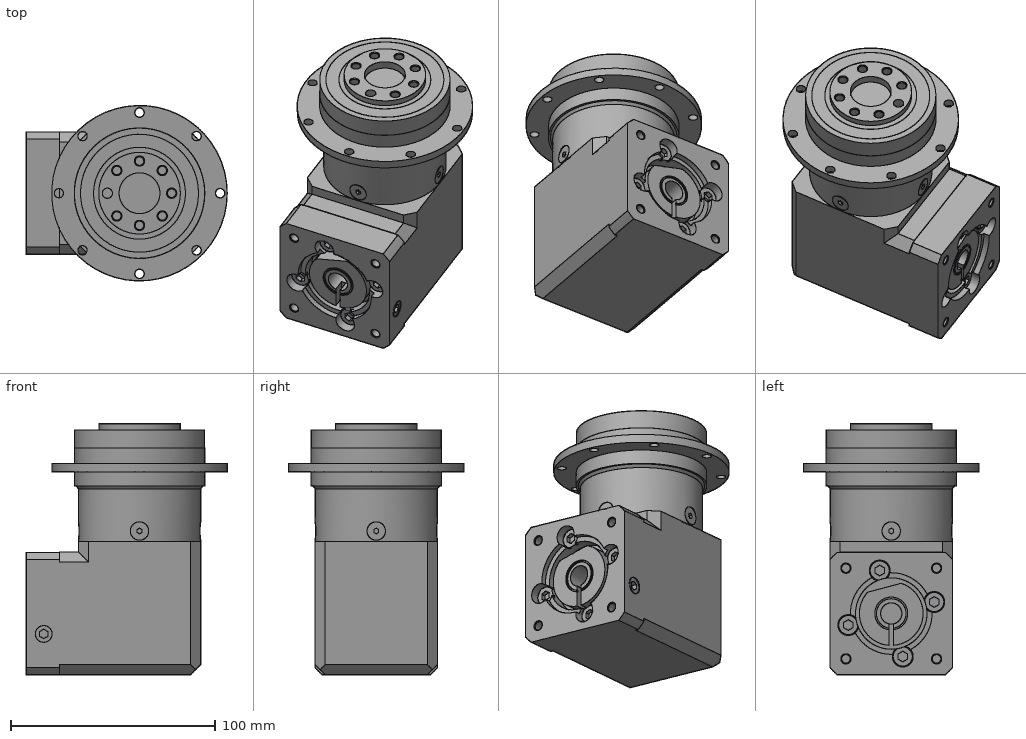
import cadquery as cq
import math


half_width = 30.0
edge_chamfer = 5.0
adapter_face_x = -55.5
housing_face_x = -39.2
seam_step = 0.25
arm_top_z = half_width + seam_step
tower_top_z = 35.25

neck_radius = 30.0
neck_top_z = 61.0
shoulder_z = 62.5
shoulder_inner_radius = 31.0
ring_gear_radius = 32.0
flange_bottom_z = 69.4
flange_top_z = 73.5
flange_radius = 43.0
cover_bottom_z = 81.0
cover_radius = 31.9
cover_top_z = 90.0
output_top_z = 93.0
output_radius = 20.0

seal_outer_radius = 28.9
seal_inner_radius = 22.5
seal_recess = 0.1

pilot_radius = 10.0
pilot_depth = 4.0
output_bolt_circle_radius = 15.75
output_hole_count = 8
output_hole_depth = 8.0
dowel_diameter = 5.0
dowel_angle = 180.0

flange_hole_count = 8
flange_hole_diameter = 4.5
flange_hole_circle_radius = 39.5

tap_diameter = 4.2
tap_mouth_diameter = 5.0

plug_z = 40.4
plug_radius = 4.5
plug_count = 4
plug_seat_radius = math.sqrt(neck_radius**2 - plug_radius**2)
plug_hex_flats = 2.4
plug_hex_depth = 1.5

adapter_corner_radius = 40.0
motor_hole_offset = 22.2
motor_hole_depth = 12.0
motor_recess_radius = 20.0
motor_recess_depth = 3.0
hub_cavity_radius = 17.5
hub_cavity_depth = 10.0
hub_face_depth = 3.5
hub_radius = 15.6
hub_flat_distance = 13.05
screw_angle = 75.0
shaft_bore_radius = 5.2
shaft_bore_depth = 25.0
sleeve_groove_outer_radius = 8.05
sleeve_groove_inner_radius = 7.25
sleeve_groove_depth = 0.5
hub_slot_width = 2.3

adapter_screw_circle_radius = 21.8
adapter_screw_count = 4
counterbore_radius = 5.1
counterbore_depth = 5.5
screw_head_radius = 4.7
screw_head_top_depth = 4.5
screw_hex_flats = 4.5
screw_hex_depth = 2.5

access_x = -46.9
access_z = -10.0
access_radius = 4.1
access_recess = 0.5
access_hex_flats = 4.0
access_hex_depth = 2.5


def polar(radius, angle):
    """Point at the given radius and angle in degrees."""
    return radius * math.cos(math.radians(angle)), radius * math.sin(math.radians(angle))


def disc_x(radius, x, length):
    """Cylinder about the X axis, running from x toward +X."""
    return cq.Workplane("YZ").workplane(offset=x).circle(radius).extrude(length)


def hex_prism_x(flats, x, length):
    """Hexagonal prism along +X on the X axis, with a corner pointing up."""
    across_corners = flats / math.cos(math.pi / 6)
    prism = cq.Workplane("YZ").polygon(6, across_corners).extrude(length)
    return prism.rotate((0, 0, 0), (1, 0, 0), 90).translate((x, 0, 0))


def tapped_hole(depth):
    """Tapped-hole cutter along -Z from the origin, with a 45 degree mouth."""
    mouth = (tap_mouth_diameter - tap_diameter) / 2
    hole = cq.Workplane("XY").circle(tap_diameter / 2).extrude(-depth)
    cone = (
        cq.Workplane("XY")
        .circle(tap_mouth_diameter / 2)
        .workplane(offset=-mouth)
        .circle(tap_diameter / 2)
        .loft()
    )
    return hole.union(cone)


def make_housing():
    """Chamfered cube with an arm toward the motor and a tower toward the output."""
    side = 2 * half_width
    plain_cube = cq.Workplane("XY").box(side, side, side)
    cube = plain_cube
    for edge_direction in ("|X", "|Y", "|Z"):
        cube = cube.intersect(plain_cube.edges(edge_direction).chamfer(edge_chamfer))
    arm = (
        cq.Workplane("YZ", origin=(housing_face_x, 0, seam_step / 2))
        .rect(side, half_width + arm_top_z)
        .extrude(-housing_face_x)
        .edges("|X")
        .chamfer(edge_chamfer)
    )
    tower = cq.Workplane("XY").rect(side, side).extrude(tower_top_z).edges("|Z").chamfer(edge_chamfer)
    return cube.union(arm).union(tower)


def make_output_stage():
    """Neck, mounting flange, cover and output flange as one turned body."""
    profile = [
        (0, tower_top_z),
        (neck_radius, tower_top_z),
        (neck_radius, neck_top_z),
        (shoulder_inner_radius, shoulder_z),
        (ring_gear_radius, shoulder_z),
        (ring_gear_radius, flange_bottom_z),
        (flange_radius, flange_bottom_z),
        (flange_radius, flange_top_z),
        (ring_gear_radius, flange_top_z),
        (ring_gear_radius, cover_bottom_z),
        (cover_radius, cover_bottom_z),
        (cover_radius, cover_top_z),
        (seal_outer_radius, cover_top_z),
        (seal_outer_radius, cover_top_z - seal_recess),
        (seal_inner_radius, cover_top_z - seal_recess),
        (seal_inner_radius, cover_top_z),
        (output_radius, cover_top_z),
        (output_radius, output_top_z),
        (pilot_radius, output_top_z),
        (pilot_radius, output_top_z - pilot_depth),
        (0, output_top_z - pilot_depth),
    ]
    return cq.Workplane("XZ").polyline(profile).close().revolve(360, (0, 0), (0, 1))


def cut_output_holes(body):
    """Tapped holes and one dowel hole in the output flange."""
    for i in range(output_hole_count):
        angle = i * 360 / output_hole_count
        x, y = polar(output_bolt_circle_radius, angle)
        if angle == dowel_angle:
            cutter = cq.Workplane("XY").circle(dowel_diameter / 2).extrude(-output_hole_depth)
        else:
            cutter = tapped_hole(output_hole_depth)
        body = body.cut(cutter.translate((x, y, output_top_z)))
    return body


def cut_flange_holes(body):
    """Through holes in the mounting flange."""
    holes = (
        cq.Workplane("XY", origin=(0, 0, flange_bottom_z))
        .polarArray(flange_hole_circle_radius, 0, 360, flange_hole_count)
        .circle(flange_hole_diameter / 2)
        .extrude(flange_top_z - flange_bottom_z)
    )
    return body.cut(holes)


def cut_oil_plugs(body):
    """Flat plug seats with hexagon sockets around the neck."""
    seat = disc_x(plug_radius, -neck_radius, neck_radius - plug_seat_radius)
    cutter = seat.union(hex_prism_x(plug_hex_flats, -plug_seat_radius, plug_hex_depth))
    cutter = cutter.translate((0, 0, plug_z))
    for i in range(plug_count):
        body = body.cut(cutter.rotate((0, 0, 0), (0, 0, 1), i * 360 / plug_count))
    return body


def make_adapter():
    """Square motor adapter plate with turned corners."""
    length = housing_face_x - adapter_face_x
    side = 2 * half_width
    plate = cq.Workplane("YZ", origin=(adapter_face_x, 0, 0)).rect(side, side).extrude(length)
    return plate.intersect(disc_x(adapter_corner_radius, adapter_face_x, length))


def make_clamp_hub():
    """Clamp hub with one flat, standing inside the adapter cavity."""
    face_x = adapter_face_x + hub_face_depth
    length = hub_cavity_depth - hub_face_depth
    hub = disc_x(hub_radius, face_x, length)
    flat_side = (
        cq.Workplane("YZ", origin=(face_x, 0, 0))
        .center(hub_flat_distance + hub_radius, 0)
        .rect(2 * hub_radius, 2 * hub_radius)
        .extrude(length)
        .rotate((0, 0, 0), (1, 0, 0), screw_angle)
    )
    return hub.cut(flat_side)


def cut_motor_side(body):
    """Pilot recess, hub cavity with its slotted clamp hub, shaft bore and motor bolt holes."""
    body = body.cut(disc_x(motor_recess_radius, adapter_face_x, motor_recess_depth))
    cavity = disc_x(hub_cavity_radius, adapter_face_x, hub_cavity_depth)
    body = body.cut(cavity.cut(make_clamp_hub()))

    hub_face_x = adapter_face_x + hub_face_depth
    groove = disc_x(sleeve_groove_outer_radius, hub_face_x, sleeve_groove_depth)
    groove = groove.cut(disc_x(sleeve_groove_inner_radius, hub_face_x, sleeve_groove_depth))
    slot = (
        cq.Workplane("YZ", origin=(hub_face_x, 0, 0))
        .center(0, -hub_radius / 2)
        .rect(hub_slot_width, hub_radius)
        .extrude(hub_cavity_depth - hub_face_depth)
    )
    bore = disc_x(shaft_bore_radius, adapter_face_x, shaft_bore_depth)
    body = body.cut(groove).cut(slot).cut(bore)

    motor_hole = tapped_hole(motor_hole_depth).rotate((0, 0, 0), (0, 1, 0), -90)
    for y in (-motor_hole_offset, motor_hole_offset):
        for z in (-motor_hole_offset, motor_hole_offset):
            body = body.cut(motor_hole.translate((adapter_face_x, y, z)))
    return body


def cut_adapter_screws(body):
    """Counterbores holding the socket-head screws that fix the adapter."""
    head_x = adapter_face_x + screw_head_top_depth
    head = disc_x(screw_head_radius, head_x, counterbore_depth - screw_head_top_depth)
    cutter = disc_x(counterbore_radius, adapter_face_x, counterbore_depth).cut(head)
    cutter = cutter.union(hex_prism_x(screw_hex_flats, head_x, screw_hex_depth))
    for i in range(adapter_screw_count):
        angle = screw_angle + i * 360 / adapter_screw_count
        y, z = polar(adapter_screw_circle_radius, angle)
        body = body.cut(cutter.translate((0, y, z)))
    return body


def cut_access_plug(body):
    """Recessed plug with a hexagon socket over the clamp screw."""
    cutter = disc_x(access_radius, 0, access_recess)
    cutter = cutter.union(hex_prism_x(access_hex_flats, access_recess, access_hex_depth))
    cutter = cutter.rotate((0, 0, 0), (0, 0, 1), 90)
    return body.cut(cutter.translate((access_x, -half_width, access_z)))


result = make_housing().union(make_output_stage()).union(make_adapter())
result = cut_output_holes(result)
result = cut_flange_holes(result)
result = cut_oil_plugs(result)
result = cut_motor_side(result)
result = cut_adapter_screws(result)
result = cut_access_plug(result)